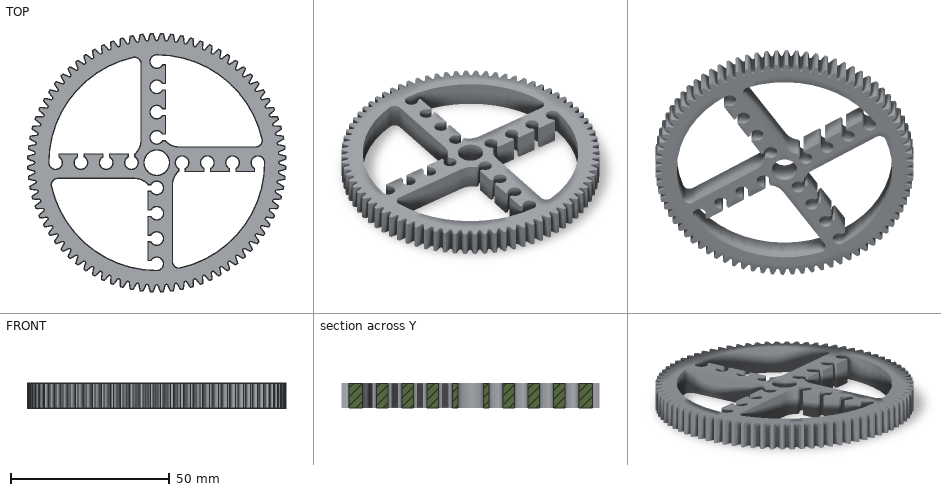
import cadquery as cq
import math

thickness = 8.0
module = 1.0
tooth_count = 80
pressure_angle = math.radians(20)
tip_radius = 40.895
flank_start_radius = 39.05
root_radius = 38.65

pitch_radius = module * tooth_count / 2
base_radius = pitch_radius * math.cos(pressure_angle)
tooth_angle = 2 * math.pi / tooth_count

spoke_count = 4
bore_diameter = 8.0
hole_pitch = 8.0
holes_per_spoke = 4
hole_diameter = 4.2
slot_width = 2.0
spoke_plain_side = 5.0
spoke_clip_side = 2.8
hub_blend_radius = 6.0
hub_blend_center = 7.1
rim_fillet = 2.0

last_hole = hole_pitch * holes_per_spoke
rim_inner_radius = last_hole + hole_diameter / 2


def polar(radius, angle):
    return (radius * math.cos(angle), radius * math.sin(angle))


def involute(radius):
    """Involute function of the pressure angle found at this radius."""
    local_angle = math.acos(base_radius / radius)
    return math.tan(local_angle) - local_angle


def half_tooth_angle(radius):
    """Half of the angle that a tooth spans at this radius."""
    return tooth_angle / 4 + involute(pitch_radius) - involute(radius)


def gear_blank():
    """Toothed disc with a tooth gap centred on each of the X and Y axes."""
    flank_mid_radius = (flank_start_radius + tip_radius) / 2
    start_half = half_tooth_angle(flank_start_radius)
    mid_half = half_tooth_angle(flank_mid_radius)
    tip_half = half_tooth_angle(tip_radius)

    first_center = tooth_angle / 2
    outline = cq.Workplane("XY").moveTo(*polar(flank_start_radius, first_center - start_half))
    for index in range(tooth_count):
        center = first_center + index * tooth_angle
        next_center = center + tooth_angle
        outline = outline.threePointArc(
            polar(flank_mid_radius, center - mid_half),
            polar(tip_radius, center - tip_half),
        )
        outline = outline.threePointArc(
            polar(tip_radius, center),
            polar(tip_radius, center + tip_half),
        )
        outline = outline.threePointArc(
            polar(flank_mid_radius, center + mid_half),
            polar(flank_start_radius, center + start_half),
        )
        outline = outline.threePointArc(
            polar(root_radius, center + tooth_angle / 2),
            polar(flank_start_radius, next_center - start_half),
        )
    return outline.close().extrude(thickness)


def rim_disc():
    """Disc that fills the inside of the rim."""
    return cq.Workplane("XY").circle(rim_inner_radius).extrude(thickness)


def box_from_corner(x, y, width, height):
    return cq.Workplane("XY").rect(width, height, centered=False).extrude(thickness).translate((x, y, 0))


def window():
    """Opening between the +Y spoke and the +X spoke."""
    inner_side = hub_blend_center - hub_blend_radius
    quadrant = box_from_corner(inner_side, spoke_plain_side, rim_inner_radius, rim_inner_radius)
    opening = quadrant.intersect(rim_disc())
    hub_corner = cq.selectors.NearestToPointSelector((inner_side, spoke_plain_side, thickness / 2))
    rim_corner = cq.selectors.NearestToPointSelector((rim_inner_radius, spoke_plain_side, thickness / 2))
    opening = opening.edges("|Z").edges(hub_corner).fillet(hub_blend_radius)
    opening = opening.edges("|Z").edges(rim_corner).fillet(rim_fillet)
    return opening.intersect(box_from_corner(spoke_clip_side, 0, rim_inner_radius, rim_inner_radius))


def clip_holes():
    """Round holes along the +Y spoke, each with a slot out to the window."""
    centers = [(0, hole_pitch * (index + 1)) for index in range(holes_per_spoke)]
    cutter = cq.Workplane("XY").pushPoints(centers).circle(hole_diameter / 2).extrude(thickness)
    slot_reach = hub_blend_center
    for _, center_y in centers:
        cutter = cutter.union(box_from_corner(0, center_y - slot_width / 2, slot_reach, slot_width))
    slot_bottom = last_hole - slot_width / 2
    end_opening = box_from_corner(0, slot_bottom, slot_reach, rim_inner_radius - slot_bottom)
    return cutter.union(end_opening).intersect(rim_disc())


result = gear_blank()
spoke_cutter = window().union(clip_holes())
for spoke in range(spoke_count):
    turn = spoke * 360 / spoke_count
    result = result.cut(spoke_cutter.rotate((0, 0, 0), (0, 0, 1), turn))

bore = cq.Workplane("XY").circle(bore_diameter / 2).extrude(thickness)
result = result.cut(bore)